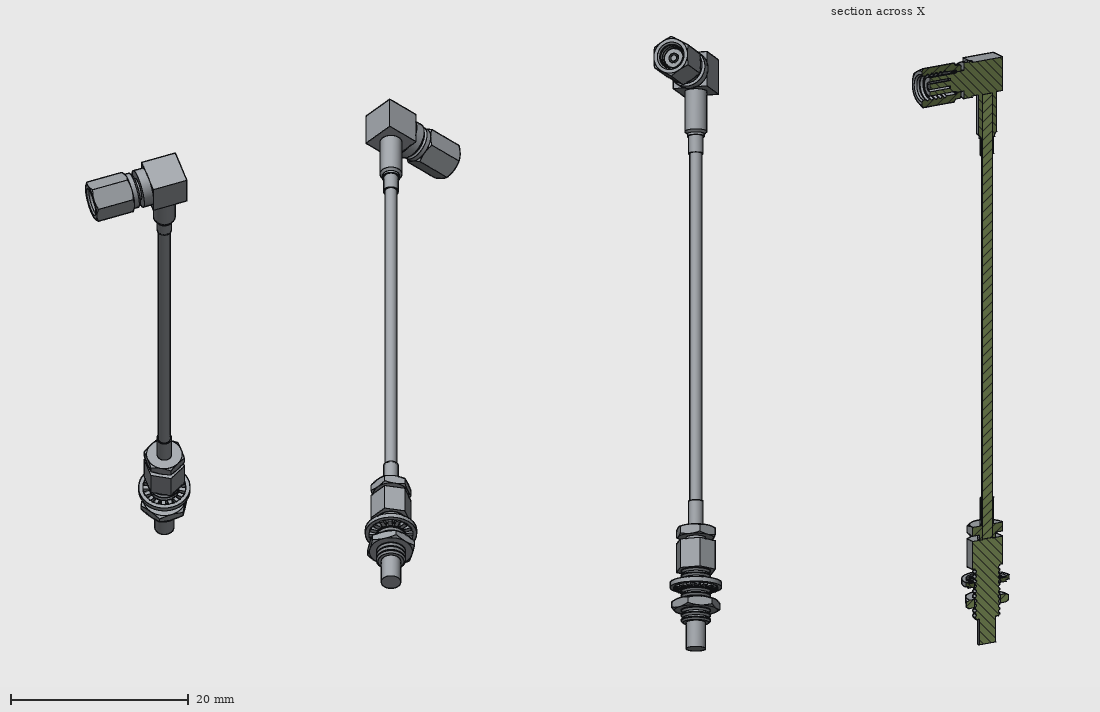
import cadquery as cq
import math


TOTAL_HEIGHT = 69.05

CABLE_RADIUS = 0.7

HEX_FLATS = 4.0
HEX_CORNER_RADIUS = HEX_FLATS / math.sqrt(3)
CORNER_CHAMFER_ANGLE = math.radians(30)

CORNER_ALONG_X = 0
CORNER_ALONG_Y = 90

PLUG_AXIS_Z = TOTAL_HEIGHT - HEX_CORNER_RADIUS
BLOCK_SIDE = 4.0
BLOCK_BOTTOM_Z = PLUG_AXIS_Z - BLOCK_SIDE / 2
FERRULE_RADIUS = 1.25
FERRULE_BOTTOM_Z = 59.8
FERRULE_CHAMFER = 0.3
FERRULE_LIP_RADIUS = FERRULE_RADIUS - FERRULE_CHAMFER
FERRULE_LIP_BOTTOM_Z = 59.5
SLEEVE_RADIUS = 0.8
UPPER_SLEEVE_BOTTOM_Z = 57.5
FLANGE_RADIUS = 2.15
FLANGE_THICKNESS = 1.1
NECK_RADIUS = 1.25
BARREL_RADIUS = 1.1
BARREL_RECESS = 1.05
SOCKET_RADIUS = 0.55
SOCKET_DEPTH = 2.75
PIN_RADIUS = 0.35

COUPLING_FRONT = 8.7
COUPLING_REAR = 3.45
COUPLING_COLLAR_LENGTH = 0.75
COUPLING_COLLAR_RADIUS = HEX_FLATS / 2
COUPLING_COLLAR_CHAMFER = 0.2
COUPLING_BORE_RADIUS = 1.4
COUPLING_BORE_CHAMFER = 0.2
COUPLING_GROOVE_COUNT = 5
COUPLING_REAR_WALL = 0.7

JACK_TUBE_RADIUS = 1.1
THREAD_BOTTOM_Z = 3.05
THREAD_TOP_Z = 9.05
THREAD_RADIUS = 1.65
THREAD_PITCH = 0.57
THREAD_GROOVE_DEPTH = 0.2
THREAD_GROOVE_WIDTH = 0.5
THREAD_END_CHAMFER = 0.2
FIRST_GROOVE_Z = 3.6
JACK_GROOVE_COUNT = 10
JACK_HEX_TOP_Z = 12.35

CLAMP_NECK_RADIUS = 1.1
CLAMP_HEX_BOTTOM_Z = 12.9
CLAMP_HEX_TOP_Z = 14.0
LOWER_SLEEVE_TOP_Z = 17.1

WASHER_RADIUS = 2.9
WASHER_BOTTOM_Z = 7.1
WASHER_THICKNESS = 0.55
TOOTH_DROP = 0.2
WASHER_RING_INNER_RADIUS = 2.4
TOOTH_COUNT = 16
TOOTH_WIDTH = 0.5
TOOTH_ROOT_RADIUS = 2.5

PANEL_NUT_FLATS = 4.8
PANEL_NUT_BOTTOM_Z = 4.5
PANEL_NUT_THICKNESS = 1.05


def cylinder(radius, bottom, top):
    """Cylinder on the Z axis between two heights."""
    return cq.Workplane("XY").workplane(offset=bottom).circle(radius).extrude(top - bottom)


def hexagon(flats, bottom, top, corner_direction):
    """Hexagonal prism on the Z axis with a corner pointing at the given angle from +X."""
    prism = cq.Workplane("XY").polygon(6, flats * 2 / math.sqrt(3)).extrude(top - bottom)
    return prism.rotate((0, 0, 0), (0, 0, 1), corner_direction).translate((0, 0, bottom))


def corner_chamfer_envelope(flats, bottom, top):
    """Turned envelope that bevels the corners of a hexagon at both ends."""
    flat_radius = flats / 2
    corner_radius = flats / math.sqrt(3)
    bevel = (corner_radius - flat_radius) * math.tan(CORNER_CHAMFER_ANGLE)
    profile = [
        (0, bottom),
        (flat_radius, bottom),
        (corner_radius, bottom + bevel),
        (corner_radius, top - bevel),
        (flat_radius, top),
        (0, top),
    ]
    return cq.Workplane("XZ").polyline(profile).close().revolve(360, (0, 0, 0), (0, 1, 0))


def chamfered_hexagon(flats, bottom, top, corner_direction):
    prism = hexagon(flats, bottom, top, corner_direction)
    return prism.intersect(corner_chamfer_envelope(flats, bottom, top))


def thread_groove(crest_radius, root_radius, root_height):
    """V-shaped ring around the Z axis, open at the crest and pointed at the root."""
    return (
        cq.Workplane("XZ")
        .moveTo(root_radius, root_height)
        .lineTo(crest_radius, root_height + THREAD_GROOVE_WIDTH / 2)
        .lineTo(crest_radius, root_height - THREAD_GROOVE_WIDTH / 2)
        .close()
        .revolve(360, (0, 0, 0), (0, 1, 0))
    )


def onto_plug_axis(shape):
    """Turn a shape built along +Z so that it lies along -Y at the height of the plug."""
    return shape.rotate((0, 0, 0), (1, 0, 0), 90).translate((0, 0, PLUG_AXIS_Z))


def make_cable():
    return cylinder(CABLE_RADIUS, JACK_HEX_TOP_Z, BLOCK_BOTTOM_Z)


def make_right_angle_plug():
    block = cq.Workplane("XY").box(BLOCK_SIDE, BLOCK_SIDE, BLOCK_SIDE).translate((0, 0, PLUG_AXIS_Z))
    ferrule = cylinder(FERRULE_RADIUS, FERRULE_BOTTOM_Z, BLOCK_BOTTOM_Z)
    ferrule = ferrule.faces("<Z").chamfer(FERRULE_CHAMFER)
    sleeve = cylinder(SLEEVE_RADIUS, UPPER_SLEEVE_BOTTOM_Z, FERRULE_BOTTOM_Z)
    lip = cylinder(FERRULE_LIP_RADIUS, FERRULE_LIP_BOTTOM_Z, FERRULE_BOTTOM_Z)
    cable_hole = cylinder(CABLE_RADIUS, UPPER_SLEEVE_BOTTOM_Z, BLOCK_BOTTOM_Z)
    tail = ferrule.union(lip).union(sleeve).cut(cable_hole)

    flange_front = BLOCK_SIDE / 2 + FLANGE_THICKNESS
    neck_front = COUPLING_REAR + COUPLING_REAR_WALL
    barrel_front = COUPLING_FRONT - BARREL_RECESS
    socket_floor = barrel_front - SOCKET_DEPTH
    flange = cylinder(FLANGE_RADIUS, BLOCK_SIDE / 2, flange_front)
    neck = cylinder(NECK_RADIUS, flange_front, neck_front)
    barrel = cylinder(BARREL_RADIUS, neck_front, barrel_front)
    socket = cylinder(SOCKET_RADIUS, socket_floor, barrel_front)
    pin = cylinder(PIN_RADIUS, socket_floor, barrel_front)
    mating_end = flange.union(neck).union(barrel).cut(socket).union(pin)

    return block.union(tail).union(onto_plug_axis(mating_end))


def make_coupling_nut():
    hex_rear = COUPLING_REAR + COUPLING_COLLAR_LENGTH
    collar = cylinder(COUPLING_COLLAR_RADIUS, COUPLING_REAR, hex_rear)
    collar = collar.faces("<Z").chamfer(COUPLING_COLLAR_CHAMFER)
    body = chamfered_hexagon(HEX_FLATS, hex_rear, COUPLING_FRONT, CORNER_ALONG_Y)
    bore = cylinder(COUPLING_BORE_RADIUS, COUPLING_REAR + COUPLING_REAR_WALL, COUPLING_FRONT)
    neck_hole = cylinder(NECK_RADIUS, COUPLING_REAR, COUPLING_FRONT)
    nut = collar.union(body).cut(bore).cut(neck_hole)
    bore_mouth = nut.faces(">Z").edges(cq.selectors.RadiusNthSelector(0))
    nut = bore_mouth.chamfer(COUPLING_BORE_CHAMFER)

    groove_root_radius = COUPLING_BORE_RADIUS + THREAD_GROOVE_DEPTH
    first_groove = COUPLING_FRONT - COUPLING_BORE_CHAMFER - THREAD_PITCH
    for index in range(COUPLING_GROOVE_COUNT):
        root_height = first_groove - index * THREAD_PITCH
        groove = thread_groove(COUPLING_BORE_RADIUS, groove_root_radius, root_height)
        nut = nut.cut(groove)
    return onto_plug_axis(nut)


def make_thread():
    """Thread formed as a row of V-grooves, with a chamfered lower end."""
    thread = cylinder(THREAD_RADIUS, THREAD_BOTTOM_Z, THREAD_TOP_Z)
    thread = thread.faces("<Z").chamfer(THREAD_END_CHAMFER)
    for index in range(JACK_GROOVE_COUNT):
        root_z = FIRST_GROOVE_Z + index * THREAD_PITCH
        groove = thread_groove(THREAD_RADIUS, THREAD_RADIUS - THREAD_GROOVE_DEPTH, root_z)
        thread = thread.cut(groove)
    return thread


def make_jack():
    tube = cylinder(JACK_TUBE_RADIUS, 0, THREAD_BOTTOM_Z)
    wrench_hex = hexagon(HEX_FLATS, THREAD_TOP_Z, JACK_HEX_TOP_Z, CORNER_ALONG_X)
    return tube.union(make_thread()).union(wrench_hex)


def make_clamp_nut():
    neck = cylinder(CLAMP_NECK_RADIUS, JACK_HEX_TOP_Z, CLAMP_HEX_BOTTOM_Z)
    head = chamfered_hexagon(HEX_FLATS, CLAMP_HEX_BOTTOM_Z, CLAMP_HEX_TOP_Z, CORNER_ALONG_X)
    sleeve = cylinder(SLEEVE_RADIUS, CLAMP_HEX_TOP_Z, LOWER_SLEEVE_TOP_Z)
    cable_hole = cylinder(CABLE_RADIUS, JACK_HEX_TOP_Z, LOWER_SLEEVE_TOP_Z)
    return neck.union(head).union(sleeve).cut(cable_hole)


def make_lock_washer():
    """Flat ring whose inner teeth sit slightly lower and reach in to the thread."""
    ring_top = WASHER_BOTTOM_Z + WASHER_THICKNESS
    tooth_bottom = WASHER_BOTTOM_Z - TOOTH_DROP
    washer = cylinder(WASHER_RADIUS, WASHER_BOTTOM_Z, ring_top)
    washer = washer.cut(cylinder(WASHER_RING_INNER_RADIUS, WASHER_BOTTOM_Z, ring_top))
    for index in range(TOOTH_COUNT):
        tooth = cq.Workplane("XY").box(
            TOOTH_ROOT_RADIUS, TOOTH_WIDTH, WASHER_THICKNESS, centered=(False, True, False)
        )
        tooth = tooth.rotate((0, 0, 0), (0, 0, 1), index * 360 / TOOTH_COUNT)
        washer = washer.union(tooth.translate((0, 0, tooth_bottom)))
    return washer.cut(cylinder(THREAD_RADIUS, tooth_bottom, ring_top))


def make_panel_nut():
    top = PANEL_NUT_BOTTOM_Z + PANEL_NUT_THICKNESS
    nut = chamfered_hexagon(PANEL_NUT_FLATS, PANEL_NUT_BOTTOM_Z, top, CORNER_ALONG_Y)
    return nut.cut(cylinder(THREAD_RADIUS, PANEL_NUT_BOTTOM_Z, top))


cable = make_cable()
right_angle_plug = make_right_angle_plug()
coupling_nut = make_coupling_nut()
jack = make_jack()
clamp_nut = make_clamp_nut()
lock_washer = make_lock_washer()
panel_nut = make_panel_nut()

result = cq.Compound.makeCompound(
    [
        cable.val(),
        right_angle_plug.val(),
        coupling_nut.val(),
        jack.val(),
        clamp_nut.val(),
        lock_washer.val(),
        panel_nut.val(),
    ]
)